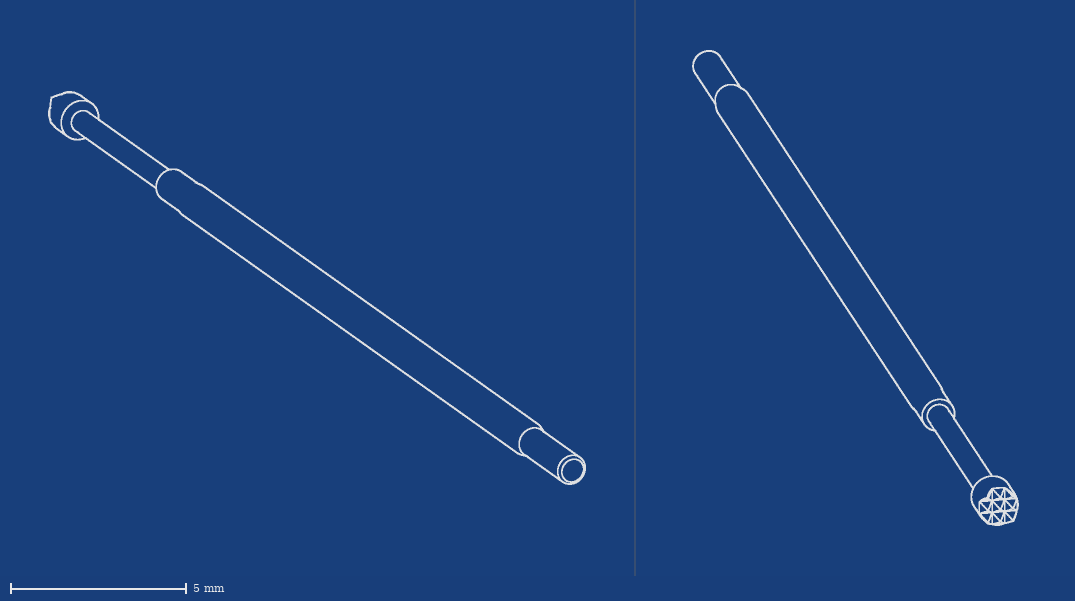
import cadquery as cq

total_length = 35.81

head_diameter = 1.17
nose_diameter = 1.09
nose_length = 0.40
head_cylinder_end = 1.17
head_end = 1.30

points_per_row = 3
point_pitch = 0.367
serration_depth = 0.30

shaft_diameter = 0.65

mouth_start = 7.60
mouth_diameter = 0.96
mouth_end = 8.90
tube_start = 9.11
tube_diameter = 1.02
shoulder_start = 32.62
shoulder_end = 32.95
shoulder_end_diameter = 0.90
shoulder_step_length = 0.06

tail_diameter = 0.86
tail_chamfer = 0.09


def make_turned_body():
    """Revolve the half section of the whole probe about X."""
    head_r = head_diameter / 2
    shaft_r = shaft_diameter / 2
    mouth_r = mouth_diameter / 2
    tube_r = tube_diameter / 2
    tail_r = tail_diameter / 2
    profile = (
        cq.Workplane("XZ")
        .moveTo(0, 0)
        .lineTo(0, nose_diameter / 2)
        .lineTo(nose_length, head_r)
        .lineTo(head_cylinder_end, head_r)
        .lineTo(head_end, shaft_r)
        .lineTo(mouth_start, shaft_r)
        .lineTo(mouth_start, mouth_r)
        .lineTo(mouth_end, mouth_r)
        .lineTo(tube_start, tube_r)
        .lineTo(shoulder_start, tube_r)
        .lineTo(shoulder_end, shoulder_end_diameter / 2)
        .lineTo(shoulder_end + shoulder_step_length, tail_r)
        .lineTo(total_length - tail_chamfer, tail_r)
        .lineTo(total_length, tail_r - tail_chamfer)
        .lineTo(total_length, 0)
        .close()
    )
    return profile.revolve(360, (0, 0, 0), (1, 0, 0))


def make_groove(offset):
    """V groove along Z, its root at Y = offset, opening to the tip plane."""
    half_width = point_pitch / 2
    return (
        cq.Workplane("XY")
        .moveTo(serration_depth, offset)
        .lineTo(0, offset + half_width)
        .lineTo(0, offset - half_width)
        .close()
        .extrude(head_diameter, both=True)
    )


def cut_serrations(body):
    """Cut grooves on both sides of every row of points, along Z and along Y."""
    for index in range(points_per_row + 1):
        groove = make_groove((index - points_per_row / 2) * point_pitch)
        body = body.cut(groove)
        body = body.cut(groove.rotate((0, 0, 0), (1, 0, 0), 90))
    return body


result = cut_serrations(make_turned_body())